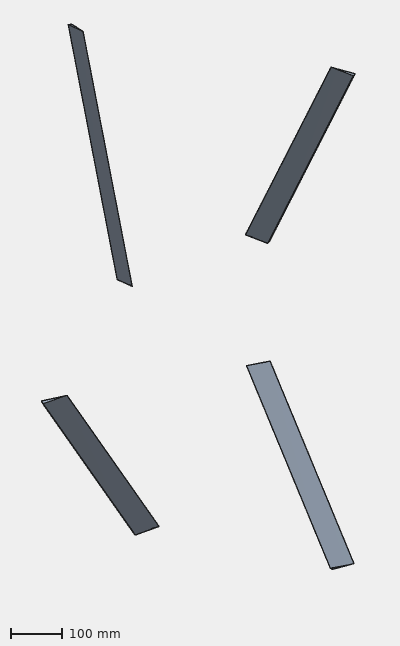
import cadquery as cq

HEIGHT = 467.5
TOTAL_LENGTH = 243.5
TOTAL_THICKNESS = 9.5

CHORD = 52.0
BLUNT_EDGE_LEAN = 1.5
TIP_TWIST = 0.25
BLUNT_THICKNESS = TOTAL_THICKNESS - BLUNT_EDGE_LEAN
SWEEP_X = TOTAL_LENGTH - CHORD


def wedge_section(x, y, z, tip_offset):
    """Closed horizontal section whose blunt edge is centred at (x, y, z)."""
    corners = [
        cq.Vector(x, y - BLUNT_THICKNESS / 2, z),
        cq.Vector(x + CHORD, y + tip_offset, z),
        cq.Vector(x, y + BLUNT_THICKNESS / 2, z),
    ]
    return cq.Wire.makePolygon(corners, close=True)


bottom_section = wedge_section(SWEEP_X, 0, 0, TIP_TWIST)
top_section = wedge_section(0, BLUNT_EDGE_LEAN, HEIGHT, -TIP_TWIST)
blade = cq.Solid.makeLoft([bottom_section, top_section], True)

result = cq.Workplane("XY").newObject([blade])